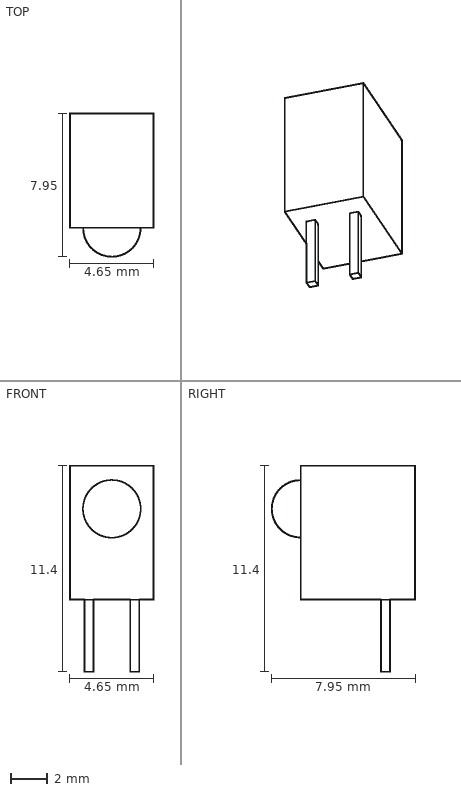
import cadquery as cq

housing_width = 4.65
housing_depth = 6.35
housing_height = 7.44

lens_radius = 1.6
lens_drop = 2.4
lens_height = housing_height - lens_drop

lead_size = 0.51
lead_length = 4.0
lead_pitch = 2.54
lead_inset = 1.64
lead_y = housing_depth - lead_inset


def make_housing():
    """Plain rectangular block."""
    return cq.Workplane("XY").box(
        housing_width, housing_depth, housing_height, centered=(True, False, False)
    )


def make_lens():
    """Quarter disc revolved about the Y axis, bulging towards -Y."""
    profile = (
        cq.Workplane("XY")
        .lineTo(lens_radius, 0)
        .radiusArc((0, -lens_radius), lens_radius)
        .close()
    )
    hemisphere = profile.revolve(360, (0, 0), (0, 1))
    return hemisphere.translate((0, 0, lens_height))


def make_lead(x):
    """Square post hanging from the underside of the housing."""
    post = cq.Workplane("XY").rect(lead_size, lead_size).extrude(-lead_length)
    return post.translate((x, lead_y, 0))


housing = make_housing()
lens = make_lens()
leads = [make_lead(side * lead_pitch / 2) for side in (-1, 1)]

result = cq.Compound.makeCompound([housing.val(), lens.val(), *[lead.val() for lead in leads]])